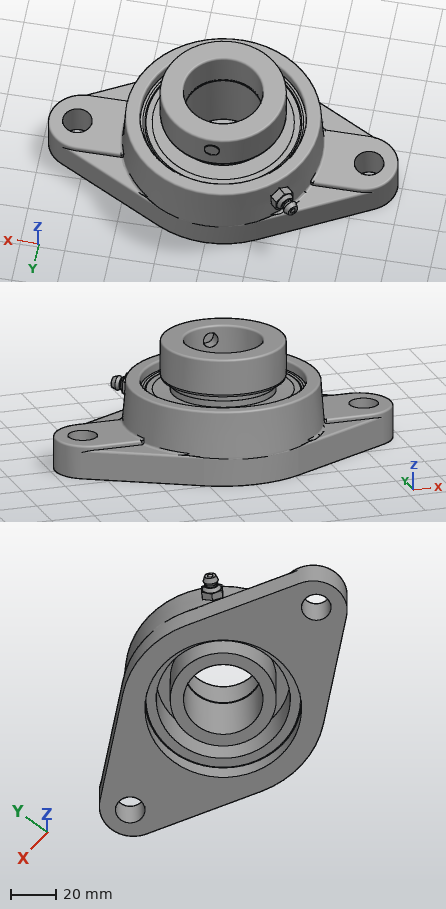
import cadquery as cq
import math

LENGTH = 156.0
EDGE_ROUND = 1.0

FLANGE_HALF_WIDTH = 44.54
FLANGE_ARC_RADIUS = 46.5
END_RADIUS = 15.0
END_OFFSET = LENGTH / 2 - END_RADIUS
WEB_TOP = 13.4
PAD_TOP = 15.3
BOLT_OFFSET = 65.2
BOLT_DIAMETER = 13.0

BARREL_TOP = 34.2
BARREL_TOP_RADIUS = 43.0
MOUTH_RADIUS = 73.2 / 2
MOUTH_FLOOR = 29.8
BEVEL_RADIUS = 35.4
BEVEL_DEPTH = 0.5

BEARING_CENTRE = 19.0
BEARING_HALF_WIDTH = 10.6
SPHERE_RADIUS = 36.0
OUTER_RING_BORE_RADIUS = 59.0 / 2
RING_CHAMFER = 0.5
SEAL_RADIUS = 62.5 / 2
SEAL_THICKNESS = 1.5
SEAL_DROP = 0.3
SHAFT_RADIUS = 35.0 / 2
INNER_RING_RADIUS = 46.6 / 2
INNER_RING_NOSE_RADIUS = 44.1 / 2
INNER_RING_TOP = 37.5
INNER_RING_CHAMFER = 0.5
BEARING_TOP = BEARING_CENTRE + BEARING_HALF_WIDTH
BEARING_BOTTOM = BEARING_CENTRE - BEARING_HALF_WIDTH
RING_FACE_RADIUS = math.sqrt(SPHERE_RADIUS**2 - BEARING_HALF_WIDTH**2)

COLLAR_RADIUS = 55.5 / 2
COLLAR_BOTTOM = 35.7
SPIGOT_RADIUS = 46.8 / 2
SPIGOT_BOTTOM = 32.3
COLLAR_TOP = 52.9
COLLAR_CHAMFER_HEIGHT = 1.0
COLLAR_CHAMFER_WIDTH = 0.3
SCREW_RADIUS = 6.7 / 2
SCREW_HEIGHT = 46.3
SCREW_INNER_END = 23.5
SCREW_OUTER_END = 28.2

NIPPLE_HEIGHT = 24.0
NIPPLE_ANGLE = 135.0
HEX_ACROSS_FLATS = 9.0
HEX_INNER_END = 42.5
HEX_OUTER_END = 47.5
SHOULDER_RADIUS = 8.5 / 2
COLLET_RADIUS = 6.2 / 2
COLLET_STATION = 49.1
NECK_RADIUS = 5.0 / 2
NECK_END = 49.9
HEAD_RADIUS = 6.7 / 2
HEAD_STATION = 51.5
TIP_STATION = 53.8
DOME_RADIUS = 2.5 / 2
DOME_HEIGHT = 0.6


def revolved(points):
    """Solid of revolution about Z from a closed (radius, height) outline."""
    return cq.Workplane("XZ").polyline(points).close().revolve(360, (0, 0, 0), (0, 1, 0))


def flange_plate(height, inset=0.0):
    """Plate of the flange outline, or an inset of it: arcs joined by tangent lines."""
    half_length, half_width = LENGTH / 2 - inset, FLANGE_HALF_WIDTH - inset
    arc_radius, end_radius = FLANGE_ARC_RADIUS - inset, END_RADIUS - inset
    arc_shift = arc_radius - half_width
    centre_distance = math.hypot(END_OFFSET, arc_shift)
    tangent_angle = math.asin((arc_radius - end_radius) / centre_distance)
    tangent_angle -= math.atan2(arc_shift, END_OFFSET)
    sine, cosine = math.sin(tangent_angle), math.cos(tangent_angle)
    centre_x, centre_y = arc_radius * sine, arc_radius * cosine - arc_shift
    end_x, end_y = END_OFFSET + end_radius * sine, end_radius * cosine
    return (
        cq.Workplane("XY")
        .moveTo(end_x, -end_y)
        .threePointArc((half_length, 0), (end_x, end_y))
        .lineTo(centre_x, centre_y)
        .threePointArc((0, half_width), (-centre_x, centre_y))
        .lineTo(-end_x, end_y)
        .threePointArc((-half_length, 0), (-end_x, -end_y))
        .lineTo(-centre_x, -centre_y)
        .threePointArc((0, -half_width), (centre_x, -centre_y))
        .close()
        .extrude(height)
    )


def pad_plate(height):
    """Strip as long as the flange that carries both bolt holes."""
    return cq.Workplane("XY").slot2D(LENGTH, 2 * END_RADIUS).extrude(height)


def rounded_top(plate):
    return plate.faces(">Z").edges().fillet(EDGE_ROUND)


def barrel_radius(height):
    """Radius of the tapered barrel wall at a height above the web."""
    taper = (FLANGE_HALF_WIDTH - BARREL_TOP_RADIUS) / (BARREL_TOP - WEB_TOP)
    return FLANGE_HALF_WIDTH - taper * (height - WEB_TOP)


def barrel_foot(floor):
    """Ring with a concave outside that blends the barrel wall into a flat floor."""
    inner = barrel_radius(floor) - EDGE_ROUND
    centre_radius, centre_height = barrel_radius(floor) + EDGE_ROUND, floor + EDGE_ROUND
    diagonal = EDGE_ROUND * math.sqrt(0.5)
    return (
        cq.Workplane("XZ")
        .moveTo(inner, 0)
        .lineTo(centre_radius, 0)
        .lineTo(centre_radius, floor)
        .threePointArc(
            (centre_radius - diagonal, centre_height - diagonal),
            (barrel_radius(centre_height), centre_height),
        )
        .lineTo(inner, centre_height)
        .close()
        .revolve(360, (0, 0, 0), (0, 1, 0))
    )


def barrel():
    """Tapered body around the bearing, standing on the round centre of the flange."""
    outline = [
        (0, 0),
        (FLANGE_HALF_WIDTH, 0),
        (FLANGE_HALF_WIDTH, WEB_TOP),
        (BARREL_TOP_RADIUS, BARREL_TOP),
        (0, BARREL_TOP),
    ]
    return revolved(outline).faces(">Z").edges().fillet(EDGE_ROUND)


def housing_bore():
    """Spherical seat for the outer ring, opening through a bevel into a wider mouth."""
    bore = revolved([
        (0, 0),
        (RING_FACE_RADIUS, 0),
        (RING_FACE_RADIUS, MOUTH_FLOOR - BEVEL_DEPTH),
        (BEVEL_RADIUS, MOUTH_FLOOR),
        (MOUTH_RADIUS, MOUTH_FLOOR),
        (MOUTH_RADIUS, BARREL_TOP),
        (0, BARREL_TOP),
    ])
    seat = cq.Workplane("XY").sphere(SPHERE_RADIUS).translate((0, 0, BEARING_CENTRE))
    below_mouth = cq.Workplane("XY").circle(SPHERE_RADIUS).extrude(MOUTH_FLOOR)
    return bore.union(seat.intersect(below_mouth))


def make_housing(nipple):
    web_foot = barrel_foot(WEB_TOP).intersect(flange_plate(PAD_TOP, EDGE_ROUND))
    pad_foot = barrel_foot(PAD_TOP).intersect(pad_plate(BARREL_TOP))
    body = rounded_top(flange_plate(WEB_TOP)).union(rounded_top(pad_plate(PAD_TOP)))
    body = body.union(barrel()).union(web_foot).union(pad_foot)
    body = body.cut(housing_bore())
    body = body.faces(">Z").edges(cq.selectors.RadiusNthSelector(0)).fillet(EDGE_ROUND)
    bolts = (
        cq.Workplane("XY")
        .pushPoints([(-BOLT_OFFSET, 0), (BOLT_OFFSET, 0)])
        .circle(BOLT_DIAMETER / 2)
        .extrude(PAD_TOP)
    )
    return body.cut(bolts).cut(nipple)


def make_outer_ring():
    """Ring with a spherical outside, and a rebate above its bore for the seal."""
    ring = (
        cq.Workplane("XZ")
        .moveTo(OUTER_RING_BORE_RADIUS, BEARING_BOTTOM)
        .lineTo(RING_FACE_RADIUS, BEARING_BOTTOM)
        .threePointArc((SPHERE_RADIUS, BEARING_CENTRE), (RING_FACE_RADIUS, BEARING_TOP))
        .lineTo(SEAL_RADIUS, BEARING_TOP)
        .lineTo(SEAL_RADIUS, BEARING_TOP - SEAL_THICKNESS)
        .lineTo(OUTER_RING_BORE_RADIUS, BEARING_TOP - SEAL_THICKNESS)
        .close()
        .revolve(360, (0, 0, 0), (0, 1, 0))
    )
    face_rims = ring.faces("<Z or >Z").edges(cq.selectors.RadiusNthSelector(-1))
    return face_rims.chamfer(RING_CHAMFER)


def make_seal():
    """Annular seal whose top dips slightly towards the inner ring."""
    underside = BEARING_TOP - SEAL_THICKNESS
    return revolved([
        (INNER_RING_RADIUS, underside),
        (SEAL_RADIUS, underside),
        (SEAL_RADIUS, BEARING_TOP),
        (INNER_RING_RADIUS, BEARING_TOP - SEAL_DROP),
    ])


def make_inner_ring():
    """Ring with a thinner nose that reaches up into the collar."""
    return revolved([
        (SHAFT_RADIUS, BEARING_BOTTOM),
        (INNER_RING_RADIUS, BEARING_BOTTOM),
        (INNER_RING_RADIUS, SPIGOT_BOTTOM),
        (INNER_RING_NOSE_RADIUS, SPIGOT_BOTTOM),
        (INNER_RING_NOSE_RADIUS, INNER_RING_TOP),
        (SHAFT_RADIUS + INNER_RING_CHAMFER, INNER_RING_TOP),
        (SHAFT_RADIUS, INNER_RING_TOP - INNER_RING_CHAMFER),
    ])


def make_set_screw():
    return (
        cq.Workplane("XZ", origin=(0, SCREW_OUTER_END, SCREW_HEIGHT))
        .circle(SCREW_RADIUS)
        .extrude(SCREW_OUTER_END - SCREW_INNER_END)
    )


def make_collar():
    """Collar whose spigot fits over the nose of the inner ring, with a radial set screw hole."""
    chamfer_top = COLLAR_BOTTOM + COLLAR_CHAMFER_HEIGHT
    collar = revolved([
        (0, SPIGOT_BOTTOM),
        (SPIGOT_RADIUS, SPIGOT_BOTTOM),
        (SPIGOT_RADIUS, COLLAR_BOTTOM),
        (COLLAR_RADIUS - COLLAR_CHAMFER_WIDTH, COLLAR_BOTTOM),
        (COLLAR_RADIUS, chamfer_top),
        (COLLAR_RADIUS, COLLAR_TOP),
        (0, COLLAR_TOP),
    ])
    collar = rounded_top(collar)
    shaft_hole = cq.Workplane("XY").circle(SHAFT_RADIUS).extrude(COLLAR_TOP)
    collar = collar.cut(shaft_hole)
    collar = collar.faces(">Z").edges(cq.selectors.RadiusNthSelector(0)).fillet(EDGE_ROUND)
    recess = cq.Workplane("XY").circle(INNER_RING_NOSE_RADIUS).extrude(INNER_RING_TOP)
    screw_hole = (
        cq.Workplane("XZ", origin=(0, 0, SCREW_HEIGHT)).circle(SCREW_RADIUS).extrude(-COLLAR_RADIUS)
    )
    return collar.cut(recess).cut(screw_hole)


def make_nipple():
    """Hexagon, waisted neck and domed head, built along Z and then laid out radially."""
    hexagon = (
        cq.Workplane("XY")
        .workplane(offset=HEX_INNER_END)
        .polygon(6, HEX_ACROSS_FLATS / math.cos(math.pi / 6))
        .extrude(HEX_OUTER_END - HEX_INNER_END)
    )
    head = (
        cq.Workplane("XZ")
        .moveTo(0, HEX_INNER_END)
        .lineTo(SHOULDER_RADIUS, HEX_INNER_END)
        .lineTo(SHOULDER_RADIUS, HEX_OUTER_END)
        .lineTo(COLLET_RADIUS, COLLET_STATION)
        .lineTo(NECK_RADIUS, COLLET_STATION)
        .lineTo(NECK_RADIUS, NECK_END)
        .lineTo(HEAD_RADIUS, HEAD_STATION)
        .lineTo(NECK_RADIUS, TIP_STATION)
        .lineTo(DOME_RADIUS, TIP_STATION)
        .lineTo(0, TIP_STATION + DOME_HEIGHT)
        .close()
        .revolve(360, (0, 0, 0), (0, 1, 0))
    )
    return (
        hexagon.union(head)
        .rotate((0, 0, 0), (0, 1, 0), 90)
        .rotate((0, 0, 0), (0, 0, 1), NIPPLE_ANGLE)
        .translate((0, 0, NIPPLE_HEIGHT))
    )


nipple = make_nipple()
housing = make_housing(nipple)
outer_ring = make_outer_ring()
seal = make_seal()
inner_ring = make_inner_ring()
collar = make_collar()
set_screw = make_set_screw()

result = cq.Compound.makeCompound([
    housing.val(),
    outer_ring.val(),
    seal.val(),
    inner_ring.val(),
    collar.val(),
    set_screw.val(),
    nipple.val(),
])